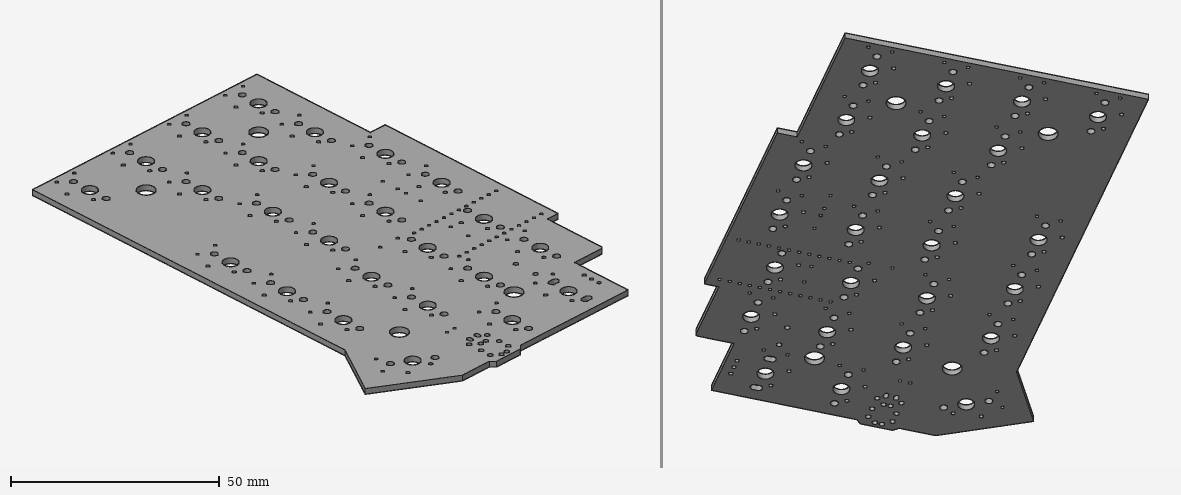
import cadquery as cq
import math


board_thickness = 1.6
board_width = 135.2
board_height = 90.5
lower_edge_y = 9.3
left_top_y = 85.5
raised_left_x = 38.4
raised_right_x = 97.0
right_shoulder_y = 86.8
shoulder_right_x = 115.9
shoulder_corner_radius = 0.7
right_top_y = 77.1
right_edge_x = 134.0
tip_x = 122.0
thumb_angle = 60.0

column_count = 7
last_column = column_count - 1
key_pitch = 19.0
first_column_x = 9.9
bottom_row_y = 18.9
raised_columns = (2, 3)
raised_column_shift = key_pitch / 4
last_column_shift = key_pitch / 2
full_column_rows = (1, 2, 3)
last_column_rows = (1, 2)
thumb_row_columns = (2.5, 3.5, 4.5)
turned_key = (120.8, 17.3)

post_diameter = 4.0
peg_diameter = 1.9
peg_offset = 5.5
peg_slot_stretch = 1.1
pin_diameter = 1.0
switch_pins = [(3.8, -2.6), (-2.6, -5.1)]

diode_hole_diameter = 0.8
diode_pitch = 6.0
diode_offset = 8.2
lowered_diode_drop = 4.9
lying_diode_centre = (86.1, 67.9)

mount_diameter = 4.7
right_mounts = [(115.4, 57.0), (109.1, 24.5)]

controller_hole_diameter = 0.8
controller_left_x = 79.0
controller_column_gap = 15.3
controller_top_y = 87.5
controller_column_length = 27.9
controller_pin_count = 12

resistor_hole_diameter = 0.8
resistor_pitch = 5.0
resistor_left_xs = (56.7, 64.5)
resistor_y = 71.4

header_hole_diameter = 1.0
header_pin_count = 3
header_first_x = 121.7
header_length = 5.0
header_y = 74.5

button_hole_diameter = 1.3
button_left_x = 106.4
button_pitch = 6.6
button_y = 66.7

link_hole_diameter = 0.8
link_x = 117.2
link_top_y = 35.0
link_pitch = 2.6

jack_y = 35.3
jack_tab_root_half = 5.3
jack_tab_end_half = 4.0
jack_hole_diameter = 1.3
jack_pin_xs = (125.0, 129.0, 132.1)
jack_pin_spread = 6.1
jack_peg_xs = (126.7, 133.7)
jack_peg_spread = 1.8
jack_sleeve_x = 123.5
jack_sleeve_spread = 2.6
jack_sleeve_width = 1.2
jack_sleeve_length = 1.8


def key_centre(column, row):
    """Centre of the key in a column and row of the grid."""
    shift = 0.0
    if column in raised_columns:
        shift = raised_column_shift
    elif column == last_column:
        shift = last_column_shift
    return first_column_x + column * key_pitch, bottom_row_y + row * key_pitch + shift


def placed(points, centre, angle=0.0):
    """Points turned by an angle in degrees and then moved to the centre."""
    cosine = math.cos(math.radians(angle))
    sine = math.sin(math.radians(angle))
    return [
        (centre[0] + x * cosine - y * sine, centre[1] + x * sine + y * cosine)
        for x, y in points
    ]


def jack_pairs(xs, spread):
    """Points above and below the jack axis at each x."""
    return [(x, jack_y + side * spread / 2) for x in xs for side in (-1, 1)]


def drill(board, points, diameter):
    """Cut round holes through the board at the points."""
    tools = cq.Workplane("XY").pushPoints(points).circle(diameter / 2).extrude(board_thickness)
    return board.cut(tools)


def cut_slots(board, points, length, width, angle):
    """Cut round-ended slots through the board, centred at the points."""
    tools = cq.Workplane("XY").pushPoints(points).slot2D(length, width, angle)
    return board.cut(tools.extrude(board_thickness))


def make_board():
    """The plain plate; the two edges at the lowest tip meet at a right angle."""
    slope = math.tan(math.radians(thumb_angle))
    outline = [
        (0, lower_edge_y),
        (tip_x - lower_edge_y * slope, lower_edge_y),
        (tip_x, 0),
        (right_edge_x, (right_edge_x - tip_x) * slope),
        (right_edge_x, jack_y - jack_tab_root_half),
        (board_width, jack_y - jack_tab_end_half),
        (board_width, jack_y + jack_tab_end_half),
        (right_edge_x, jack_y + jack_tab_root_half),
        (right_edge_x, right_top_y),
        (shoulder_right_x, right_top_y),
        (shoulder_right_x, right_shoulder_y),
        (raised_right_x, right_shoulder_y),
        (raised_right_x, board_height),
        (raised_left_x, board_height),
        (raised_left_x, left_top_y),
        (0, left_top_y),
    ]
    plate = cq.Workplane("XY").polyline(outline).close().extrude(board_thickness)
    shoulder_corner = cq.selectors.NearestToPointSelector(
        (shoulder_right_x, right_shoulder_y, board_thickness / 2)
    )
    return plate.edges("|Z").edges(shoulder_corner).fillet(shoulder_corner_radius)


straight_keys = [key_centre(c, r) for c in range(last_column) for r in full_column_rows]
straight_keys += [key_centre(last_column, r) for r in last_column_rows]
straight_keys.append(key_centre(0, 0))
straight_keys += [key_centre(c, 0) for c in thumb_row_columns]
keys = [(centre, 0.0) for centre in straight_keys] + [(turned_key, thumb_angle)]

slotted_key = key_centre(last_column, 2)
peg_pair = [(-peg_offset, 0), (peg_offset, 0)]
slot_pair = [(x, y + peg_slot_stretch / 2) for x, y in peg_pair]
posts = [centre for centre, angle in keys]
pegs = []
pins = []
for centre, angle in keys:
    pins += placed(switch_pins, centre, angle)
    if centre != slotted_key:
        pegs += placed(peg_pair, centre, angle)
peg_slots = placed(slot_pair, slotted_key)

controller_key = key_centre(4, 3)
lowered_diode_key = key_centre(4, 2)
diode_pair = [(-diode_offset, diode_pitch / 2), (-diode_offset, -diode_pitch / 2)]
lowered_pair = [(x, y - lowered_diode_drop) for x, y in diode_pair]
lying_pair = [(-diode_pitch / 2, 0), (diode_pitch / 2, 0)]
diodes = placed(lying_pair, lying_diode_centre) + placed(lowered_pair, lowered_diode_key)
for centre, angle in keys:
    if centre not in (controller_key, lowered_diode_key):
        diodes += placed(diode_pair, centre, angle)

mounts = [key_centre(0.5, 0.5), key_centre(0.5, 2.5)] + right_mounts

controller_pitch = controller_column_length / (controller_pin_count - 1)
controller_pins = [
    (x, controller_top_y - i * controller_pitch)
    for x in (controller_left_x, controller_left_x + controller_column_gap)
    for i in range(controller_pin_count)
]
resistor_pins = [(x + dx, resistor_y) for x in resistor_left_xs for dx in (0, resistor_pitch)]
header_pitch = header_length / (header_pin_count - 1)
header_pins = [(header_first_x + i * header_pitch, header_y) for i in range(header_pin_count)]
button_pins = [(button_left_x, button_y), (button_left_x + button_pitch, button_y)]
link_pins = [(link_x, link_top_y), (link_x, link_top_y - link_pitch)]

jack_holes = jack_pairs(jack_pin_xs, jack_pin_spread) + jack_pairs(jack_peg_xs, jack_peg_spread)
jack_slots = jack_pairs([jack_sleeve_x], jack_sleeve_spread)

result = make_board()
for points, diameter in [
    (posts, post_diameter),
    (pegs, peg_diameter),
    (pins, pin_diameter),
    (diodes, diode_hole_diameter),
    (mounts, mount_diameter),
    (controller_pins, controller_hole_diameter),
    (resistor_pins, resistor_hole_diameter),
    (header_pins, header_hole_diameter),
    (button_pins, button_hole_diameter),
    (link_pins, link_hole_diameter),
    (jack_holes, jack_hole_diameter),
]:
    result = drill(result, points, diameter)
result = cut_slots(result, peg_slots, peg_diameter + peg_slot_stretch, peg_diameter, 90)
result = cut_slots(result, jack_slots, jack_sleeve_length, jack_sleeve_width, 0)